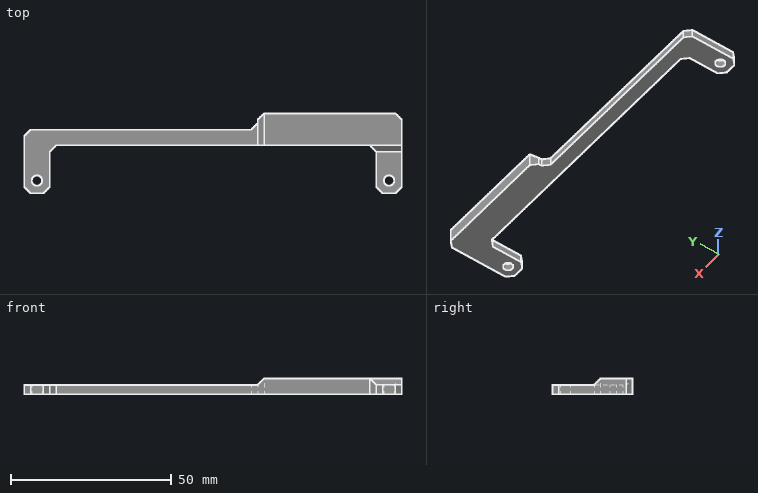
import cadquery as cq

length = 118.0
depth = 25.0
height = 5.0

thin = 3.0
bevel = 2.0
leg_width = 8.0
bar_inner_y = 15.0
bar_outer_y = 20.0
block_x = 72.9
hole_diameter = 3.2
hole_y = leg_width / 2

right_leg_x = length - leg_width


def make_footprint():
    """Outline of the whole bracket, with every corner cut at 45 degrees."""
    points = [
        (bevel, 0),
        (leg_width - bevel, 0),
        (leg_width, bevel),
        (leg_width, bar_inner_y - bevel),
        (leg_width + bevel, bar_inner_y),
        (right_leg_x - bevel, bar_inner_y),
        (right_leg_x, bar_inner_y - bevel),
        (right_leg_x, bevel),
        (right_leg_x + bevel, 0),
        (length - bevel, 0),
        (length, bevel),
        (length, depth - bevel),
        (length - bevel, depth),
        (block_x + bevel, depth),
        (block_x, depth - bevel),
        (block_x, bar_outer_y + bevel),
        (block_x - bevel, bar_outer_y),
        (bevel, bar_outer_y),
        (0, bar_outer_y - bevel),
        (0, bevel),
    ]
    return cq.Workplane("XY").polyline(points).close()


def make_height_limit():
    """Space under the top faces: low everywhere, sloping up to the raised block."""
    low = cq.Workplane("XY").box(length, depth, thin, centered=False)
    end_slope = (
        cq.Workplane("XZ")
        .polyline([(block_x, 0), (block_x, thin), (block_x + bevel, height), (length, height), (length, 0)])
        .close()
        .extrude(-depth)
    )
    leg_slope = (
        cq.Workplane("YZ")
        .polyline([
            (bar_inner_y - bevel, 0),
            (bar_inner_y - bevel, thin),
            (bar_inner_y, height),
            (depth, height),
            (depth, 0),
        ])
        .close()
        .extrude(length)
    )
    return low.union(end_slope.intersect(leg_slope))


bracket = make_footprint().extrude(height).intersect(make_height_limit())

hole_centers = [(leg_width / 2, hole_y), (length - leg_width / 2, hole_y)]
holes = cq.Workplane("XY").pushPoints(hole_centers).circle(hole_diameter / 2).extrude(height)

result = bracket.cut(holes)